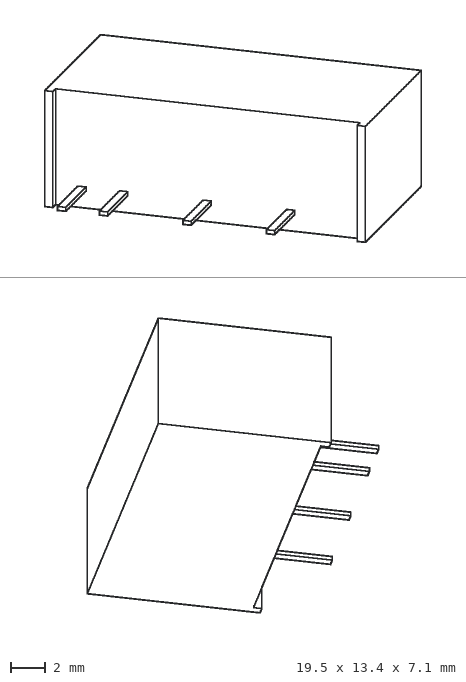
import cadquery as cq

case_length = 19.5
case_depth = 10.2
case_height = 7.1

lip_width = 0.5
recess_depth = 0.5

pin_pitch = 2.54
pin_steps = (0, 1, 3, 5)
first_pin_inset = 2.1
pin_width = 0.5
pin_thickness = 0.25
pin_reach = 3.2
pin_bottom_height = 1.05

first_pin_x = -case_length / 2 + first_pin_inset
pin_length = pin_reach + recess_depth


def make_box(length, depth, height):
    """Box centered in X, rising from z = 0 and running back from y = 0."""
    return cq.Workplane("XY").box(length, depth, height, centered=(True, False, False))


def make_case():
    block = make_box(case_length, case_depth, case_height)
    recess = make_box(case_length - 2 * lip_width, recess_depth, case_height)
    return block.cut(recess)


def make_pin(center_x):
    pin = make_box(pin_width, pin_length, pin_thickness)
    return pin.translate((center_x, -pin_reach, pin_bottom_height))


result = make_case()
for step in pin_steps:
    result = result.union(make_pin(first_pin_x + step * pin_pitch))